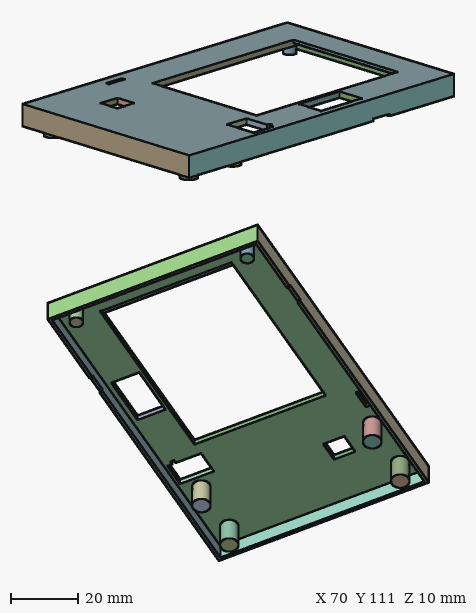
import cadquery as cq

WIDTH = 70.0
LENGTH = 111.0
COVER_HEIGHT = 7.0
PLATE_THICKNESS = 2.0
WALL = 1.0
PLATE_BOTTOM = COVER_HEIGHT - PLATE_THICKNESS

WINDOW_WIDTH = 43.7
WINDOW_LENGTH = 59.1
WINDOW_X = (WIDTH - WINDOW_WIDTH) / 2
WINDOW_Y = 41.4
RECESS_DEPTH = 1.0
RECESS_REACH = 2.0

PORT_OPENING = (58.0, 58.0, 9.3, 17.0)
SOCKET_OPENING = (56.8, 29.0, 11.2, 8.2)
SQUARE_OPENING = (15.85, 17.0, 7.0, 7.0)
SLIT_OPENING = (3.45, 31.7, 1.2, 6.6)

RELIEF_SIZE = 1.1
RELIEF_X = 65.3

NOTCH_HEIGHT = 0.7
NOTCH_LENGTH = 6.6
LEFT_NOTCH_Y = 83.3
RIGHT_NOTCH_Y = 77.3

STANDOFF_DIAMETER = 5.5
STANDOFF_DROP = 3.0
POST_DIAMETER = 4.0
COLUMN_X = (6.0, 63.0)
STANDOFF_Y = (6.9, 25.0)
POST_Y = 106.0


def block(x, y, z, width, length, height):
    """Box with its lowest corner at (x, y, z)."""
    return cq.Workplane("XY").box(width, length, height, centered=False).translate((x, y, z))


def tray():
    """Outer block hollowed from below, leaving the plate and the side walls."""
    cavity = block(WALL, WALL, 0, WIDTH - 2 * WALL, LENGTH - 2 * WALL, PLATE_BOTTOM)
    return block(0, 0, 0, WIDTH, LENGTH, COVER_HEIGHT).cut(cavity)


def plate_opening(x, y, width, length):
    """Cutter through the plate."""
    return block(x, y, PLATE_BOTTOM, width, length, PLATE_THICKNESS)


def display_cutter():
    """Window, plus the recess under the plate beyond its upper edge."""
    window = plate_opening(WINDOW_X, WINDOW_Y, WINDOW_WIDTH, WINDOW_LENGTH)
    recess_y = WINDOW_Y + WINDOW_LENGTH
    recess = block(WINDOW_X, recess_y, PLATE_BOTTOM, WINDOW_WIDTH, RECESS_REACH, RECESS_DEPTH)
    return window.union(recess)


def socket_cutter():
    """Socket opening with the small relief on its upper edge."""
    x, y, width, length = SOCKET_OPENING
    relief = plate_opening(RELIEF_X, y + length, RELIEF_SIZE, RELIEF_SIZE)
    return plate_opening(x, y, width, length).union(relief)


def rim_notch(x, y):
    """Cutter through one side wall at the lower rim."""
    return block(x, y, 0, WALL, NOTCH_LENGTH, NOTCH_HEIGHT)


def columns(diameter, y_positions, bottom):
    """Round columns hanging from the plate down to the given height."""
    centres = [(x, y) for x in COLUMN_X for y in y_positions]
    sketch = cq.Workplane("XY").workplane(offset=bottom).pushPoints(centres)
    return sketch.circle(diameter / 2).extrude(PLATE_BOTTOM - bottom)


result = tray()
result = result.cut(display_cutter())
result = result.cut(socket_cutter())
for opening in (PORT_OPENING, SQUARE_OPENING, SLIT_OPENING):
    result = result.cut(plate_opening(*opening))
result = result.cut(rim_notch(0, LEFT_NOTCH_Y))
result = result.cut(rim_notch(WIDTH - WALL, RIGHT_NOTCH_Y))
result = result.union(columns(STANDOFF_DIAMETER, STANDOFF_Y, -STANDOFF_DROP))
result = result.union(columns(POST_DIAMETER, (POST_Y,), 0))